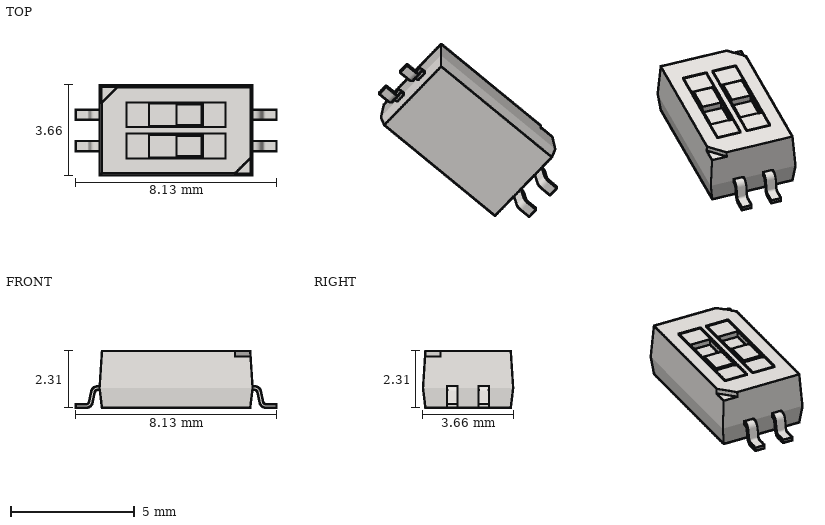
import cadquery as cq
import math

OVERALL_LENGTH = 8.13
HEIGHT = 2.31
WAIST_LENGTH = 6.2
WAIST_WIDTH = 3.66
TAPER_INSET = 0.1
PARTING_Z = 0.805
END_LENGTH = WAIST_LENGTH - 2 * TAPER_INSET
END_WIDTH = WAIST_WIDTH - 2 * TAPER_INSET

NOTCH_LEG = 0.61
NOTCH_DEPTH = 0.22

PITCH = 1.27
ROWS_Y = [-PITCH / 2, PITCH / 2]

RECESS_LENGTH = 4.0
RECESS_WIDTH = 1.0
RECESS_DEPTH = 0.04
SLOT_LENGTH = 2.18
SLOT_WIDTH = 0.91
SLOT_DEPTH = 0.3

SLIDER_LENGTH = 1.01
SLIDER_WIDTH = 0.81
SLIDER_END_GAP = 0.065

LEAD_THICKNESS = 0.155
LEAD_WIDTH = 0.42
LEAD_FOOT = 0.42
LEAD_BEND_RADIUS = 0.195
LEAD_LEAN = math.radians(12)
LEAD_EMBED = 0.16


def tapered_half(waist_z, end_z):
    """Frustum from the waist rectangle to the smaller end rectangle."""
    return (
        cq.Workplane("XY", origin=(0, 0, waist_z))
        .rect(WAIST_LENGTH, WAIST_WIDTH)
        .workplane(offset=end_z - waist_z)
        .rect(END_LENGTH, END_WIDTH)
        .loft(ruled=True)
    )


def pocket(length, width, depth, y):
    """Box to cut downward from the top face, centred along X."""
    return (
        cq.Workplane("XY", origin=(0, y, HEIGHT))
        .rect(length, width)
        .extrude(-depth)
    )


def corner_notch(side):
    """Triangular prism over the corner at (side * X, -side * Y)."""
    corner_x = side * END_LENGTH / 2
    corner_y = -side * END_WIDTH / 2
    overshoot = side * 2 * TAPER_INSET
    leg = side * NOTCH_LEG
    outer_x = corner_x + overshoot
    outer_y = corner_y - overshoot
    return (
        cq.Workplane("XY", origin=(0, 0, HEIGHT))
        .moveTo(outer_x, outer_y)
        .lineTo(outer_x, corner_y + leg + overshoot)
        .lineTo(corner_x - leg - overshoot, outer_y)
        .close()
        .extrude(-NOTCH_DEPTH)
    )


def lead(y):
    """Strip at the -X end, bent from its foot up into the parting plane."""
    foot_x = -OVERALL_LENGTH / 2
    foot_z = LEAD_THICKNESS / 2
    turn = math.pi / 2 - LEAD_LEAN
    bend_run = LEAD_BEND_RADIUS * math.sin(turn)
    bend_rise = LEAD_BEND_RADIUS * (1 - math.cos(turn))
    mid_run = LEAD_BEND_RADIUS * math.sin(turn / 2)
    mid_rise = LEAD_BEND_RADIUS * (1 - math.cos(turn / 2))
    leg_run = (PARTING_Z - foot_z - 2 * bend_rise) * math.tan(LEAD_LEAN)
    lower_bend_x = foot_x + LEAD_FOOT
    upper_bend_x = lower_bend_x + 2 * bend_run + leg_run
    path = (
        cq.Workplane("XZ", origin=(0, y, 0))
        .moveTo(foot_x, foot_z)
        .lineTo(lower_bend_x, foot_z)
        .threePointArc(
            (lower_bend_x + mid_run, foot_z + mid_rise),
            (lower_bend_x + bend_run, foot_z + bend_rise),
        )
        .lineTo(upper_bend_x - bend_run, PARTING_Z - bend_rise)
        .threePointArc(
            (upper_bend_x - mid_run, PARTING_Z - mid_rise),
            (upper_bend_x, PARTING_Z),
        )
        .lineTo(-WAIST_LENGTH / 2 + LEAD_EMBED, PARTING_Z)
    )
    return (
        cq.Workplane("YZ", origin=(foot_x, y, foot_z))
        .rect(LEAD_WIDTH, LEAD_THICKNESS)
        .sweep(path)
    )


def make_housing():
    """Housing with its recesses, corner notches and moulded-in leads."""
    housing = tapered_half(PARTING_Z, HEIGHT).union(tapered_half(PARTING_Z, 0))
    for side in (-1, 1):
        housing = housing.cut(corner_notch(side))
    for y in ROWS_Y:
        housing = housing.cut(pocket(RECESS_LENGTH, RECESS_WIDTH, RECESS_DEPTH, y))
        housing = housing.cut(pocket(SLOT_LENGTH, SLOT_WIDTH, SLOT_DEPTH, y))
        left_lead = lead(y)
        housing = housing.union(left_lead).union(left_lead.mirror("YZ"))
    return housing


def make_slider(y):
    """Slider block parked near the +X end of its slot."""
    center_x = SLOT_LENGTH / 2 - SLIDER_END_GAP - SLIDER_LENGTH / 2
    return (
        cq.Workplane("XY", origin=(center_x, y, HEIGHT - SLOT_DEPTH))
        .rect(SLIDER_LENGTH, SLIDER_WIDTH)
        .extrude(SLOT_DEPTH)
    )


housing = make_housing()
sliders = [make_slider(y) for y in ROWS_Y]

result = cq.Compound.makeCompound([housing.val(), *[slider.val() for slider in sliders]])